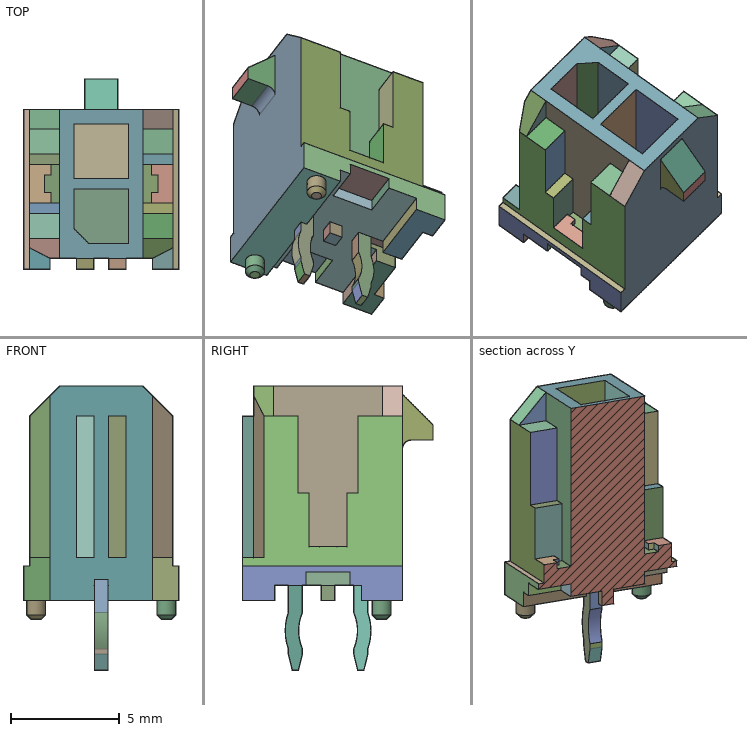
import cadquery as cq


overall_depth = 8.77
overall_height = 13.09

body_width = 6.6
body_depth = 6.86
body_height = 9.88
core_width = 3.82
back = body_depth / 2
front = -back
front_chamfer_x = 0.94
front_chamfer_y = 0.48

base_width = 7.15
base_height = 1.6
foot_reach = 0.51
foot_height = 1.98
foot_inner_x = body_width / 2 - front_chamfer_x

socket_size = 2.51
socket_pitch = 3.0
socket_floor = 2.49
key_chamfer = 0.7

top_chamfer = (body_width - core_width) / 2
wall_top = body_height - top_chamfer
gusset_thickness = 0.92
wide_slot_width = 2.75
wide_slot_floor = 4.96
narrow_slot_width = 1.75
narrow_slot_floor = socket_floor
trough_depth = 0.3
trough_width = 0.4
trough_key_reach = 0.29
trough_key_width = 0.81

rib_width = 0.8
rib_spacing = 1.48

latch_width = 1.53
latch_reach = overall_depth - body_depth - foot_reach
latch_top = 9.49
latch_bottom = 7.38
latch_fillet = 0.39

recess_height = 0.71
recess_back = back - 1.9
recess_front = front + 0.98
side_notch_width = 2.02
side_notch_top = 1.31
pin_notch_top = 0.98

pin_width = 0.63
pin_thickness = 0.65
pin_inner = 1.18
pin_outer = pin_inner + pin_thickness
bow_top = -0.55
bow_bottom = -2.21
bow_middle = (bow_top + bow_bottom) / 2
outer_bow = 0.15
inner_bow = 0.17
taper_top = -2.46
pin_end = body_height - overall_height
tip_inset = 0.18
post_size = 0.63

peg_diameter = 0.88
peg_length = 0.86
peg_chamfer = 0.21
peg_x = 3.0
peg_y = back - 0.97


def box(x_min, x_max, y_min, y_max, z_min, z_max):
    size = (x_max - x_min, y_max - y_min, z_max - z_min)
    return cq.Workplane().box(*size, centered=False).translate((x_min, y_min, z_min))


def centred_box(width, y_min, y_max, z_min, z_max):
    return box(-width / 2, width / 2, y_min, y_max, z_min, z_max)


def both_sides(shape):
    return shape.union(shape.mirror("YZ"))


def make_housing():
    sides = cq.Workplane("XZ", origin=(0, back, 0)).polyline([
        (-body_width / 2, 0),
        (-body_width / 2, wall_top),
        (-core_width / 2, body_height),
        (core_width / 2, body_height),
        (body_width / 2, wall_top),
        (body_width / 2, 0),
    ]).close().extrude(body_depth)
    corners = cq.Workplane().polyline([
        (-body_width / 2, back),
        (-body_width / 2, front + front_chamfer_y),
        (-foot_inner_x, front),
        (foot_inner_x, front),
        (body_width / 2, front + front_chamfer_y),
        (body_width / 2, back),
    ]).close().extrude(body_height)
    return sides.intersect(corners)


def make_side_openings():
    outer = base_width / 2
    inner = core_width / 2
    between_gussets = body_depth / 2 - gusset_thickness
    opening = box(inner, outer, -between_gussets, between_gussets, wall_top, body_height)
    for width, floor in ((wide_slot_width, wide_slot_floor), (narrow_slot_width, narrow_slot_floor)):
        opening = opening.union(box(inner, outer, -width / 2, width / 2, floor, body_height))

    trough_floor = narrow_slot_floor - trough_depth
    trough_edge = inner + trough_width
    for width, edge in (
        (narrow_slot_width, trough_edge),
        (trough_key_width, trough_edge + trough_key_reach),
    ):
        opening = opening.union(box(inner, edge, -width / 2, width / 2, trough_floor, narrow_slot_floor))
    return both_sides(opening)


def make_base():
    base = centred_box(base_width, front + front_chamfer_y, back, 0, base_height)
    foot_front = front - foot_reach
    foot = box(foot_inner_x, body_width / 2, foot_front, front + front_chamfer_y, 0, foot_height)
    flange_end = box(foot_inner_x, base_width / 2, foot_front, front + front_chamfer_y, 0, base_height)
    return base.union(both_sides(foot.union(flange_end)))


def make_ribs():
    x = rib_spacing / 2
    rib = box(x - rib_width / 2, x + rib_width / 2, front - foot_reach, front, foot_height, wall_top)
    return both_sides(rib)


def make_latch():
    return (
        cq.Workplane("YZ")
        .moveTo(back, latch_top)
        .lineTo(back + latch_reach, latch_top - latch_reach)
        .lineTo(back + latch_reach, latch_bottom)
        .lineTo(back + latch_fillet, latch_bottom)
        .radiusArc((back, latch_bottom - latch_fillet), -latch_fillet)
        .close()
        .extrude(latch_width / 2, both=True)
    )


def make_sockets():
    depth = body_height - socket_floor
    socket = cq.Workplane(origin=(0, 0, socket_floor)).rect(socket_size, socket_size).extrude(depth)
    keyed_socket = socket.edges("|Z and <X and <Y").chamfer(key_chamfer)
    offset = (0, socket_pitch / 2, 0)
    return socket.translate(offset).union(keyed_socket.translate((0, -socket_pitch / 2, 0)))


def make_underside_cuts():
    recess = centred_box(base_width, recess_front, recess_back, 0, recess_height)
    half_notch = side_notch_width / 2
    side_notch = box(core_width / 2, base_width / 2, -half_notch, half_notch, 0, side_notch_top)
    pin_notch = centred_box(pin_width, front, -pin_outer, 0, pin_notch_top)
    return recess.union(both_sides(side_notch)).union(pin_notch)


def make_pins():
    pin = (
        cq.Workplane("YZ")
        .moveTo(pin_inner, pin_notch_top)
        .lineTo(pin_inner, bow_top)
        .threePointArc((pin_inner + inner_bow, bow_middle), (pin_inner, bow_bottom))
        .lineTo(pin_inner, taper_top)
        .lineTo(pin_inner + tip_inset, pin_end)
        .lineTo(pin_outer - tip_inset, pin_end)
        .lineTo(pin_outer, taper_top)
        .lineTo(pin_outer, bow_bottom)
        .threePointArc((pin_outer + outer_bow, bow_middle), (pin_outer, bow_top))
        .lineTo(pin_outer, pin_notch_top)
        .close()
        .extrude(pin_width / 2, both=True)
    )
    return pin.union(pin.mirror("XZ"))


def make_post():
    return centred_box(post_size, -post_size / 2, post_size / 2, 0, recess_height)


def make_pegs():
    peg = (
        cq.Workplane(origin=(peg_x, peg_y, 0))
        .circle(peg_diameter / 2)
        .extrude(-peg_length)
        .faces("<Z")
        .chamfer(peg_chamfer)
    )
    return both_sides(peg)


result = (
    make_housing()
    .cut(make_side_openings())
    .union(make_base())
    .union(make_ribs())
    .union(make_latch())
    .cut(make_sockets())
    .cut(make_underside_cuts())
    .union(make_pins())
    .union(make_post())
    .union(make_pegs())
)